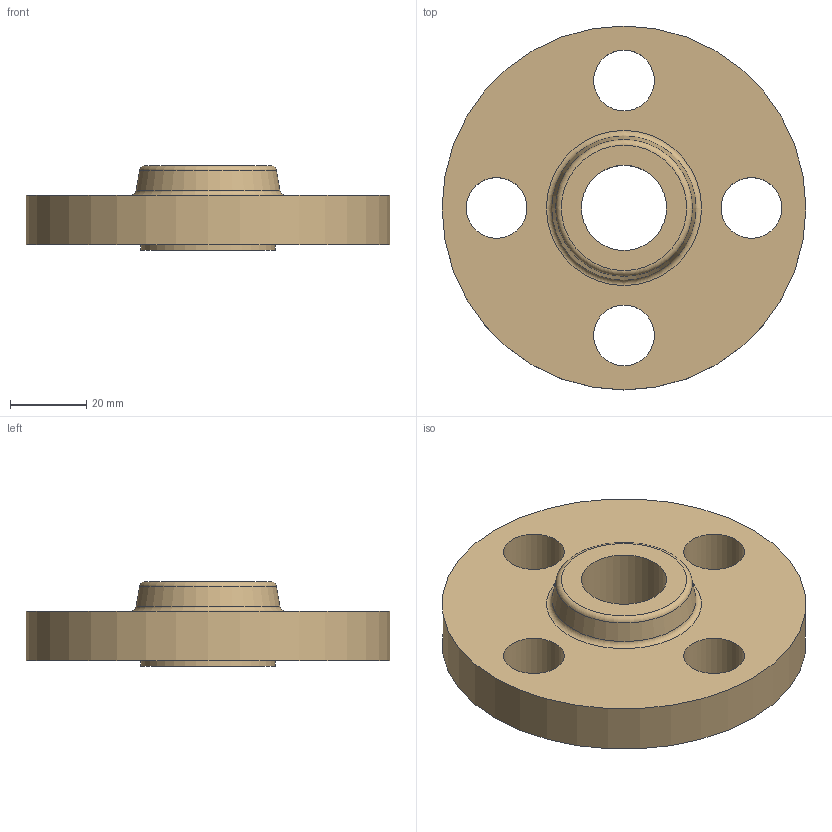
import cadquery as cq
import math

FLANGE_DIAMETER = 95.25
FLANGE_THICKNESS = 12.9

FACE_DIAMETER = 35.1
FACE_HEIGHT = 1.5

OVERALL_HEIGHT = 22.16
HUB_HEIGHT = OVERALL_HEIGHT - FACE_HEIGHT - FLANGE_THICKNESS
HUB_BASE_DIAMETER = 38.1
HUB_TAPER_ANGLE = 10.0
HUB_FILLET_RADIUS = 1.5

BORE_DIAMETER = 22.3
BOLT_HOLE_DIAMETER = 15.9
BOLT_CIRCLE_DIAMETER = 66.7
BOLT_COUNT = 4

FLANGE_BOTTOM = FACE_HEIGHT
FLANGE_TOP = FLANGE_BOTTOM + FLANGE_THICKNESS


def disc(diameter, height, bottom):
    """Upright cylinder centred on the Z axis."""
    return cq.Workplane("XY").workplane(offset=bottom).circle(diameter / 2).extrude(height)


def tapered_hub():
    """Solid cone frustum standing on the flange and narrowing upward."""
    base_radius = HUB_BASE_DIAMETER / 2
    top_radius = base_radius - HUB_HEIGHT * math.tan(math.radians(HUB_TAPER_ANGLE))
    return cq.Workplane("XY").add(
        cq.Solid.makeCone(base_radius, top_radius, HUB_HEIGHT, cq.Vector(0, 0, FLANGE_TOP))
    )


def flange_body():
    """Disc, sealing face and hub, with the hub's root and rim rounded."""
    body = disc(FLANGE_DIAMETER, FLANGE_THICKNESS, FLANGE_BOTTOM)
    body = body.union(disc(FACE_DIAMETER, FACE_HEIGHT, 0))
    body = body.union(tapered_hub())
    hub_cone = body.faces("%CONE")
    return hub_cone.edges("%CIRCLE").fillet(HUB_FILLET_RADIUS)


def bore():
    return disc(BORE_DIAMETER, OVERALL_HEIGHT, 0)


def bolt_holes():
    """Bolt holes evenly spaced on the bolt circle, the first on +X."""
    return (
        cq.Workplane("XY")
        .workplane(offset=FLANGE_BOTTOM)
        .polarArray(BOLT_CIRCLE_DIAMETER / 2, 0, 360, BOLT_COUNT)
        .circle(BOLT_HOLE_DIAMETER / 2)
        .extrude(FLANGE_THICKNESS)
    )


result = flange_body().cut(bore()).cut(bolt_holes())